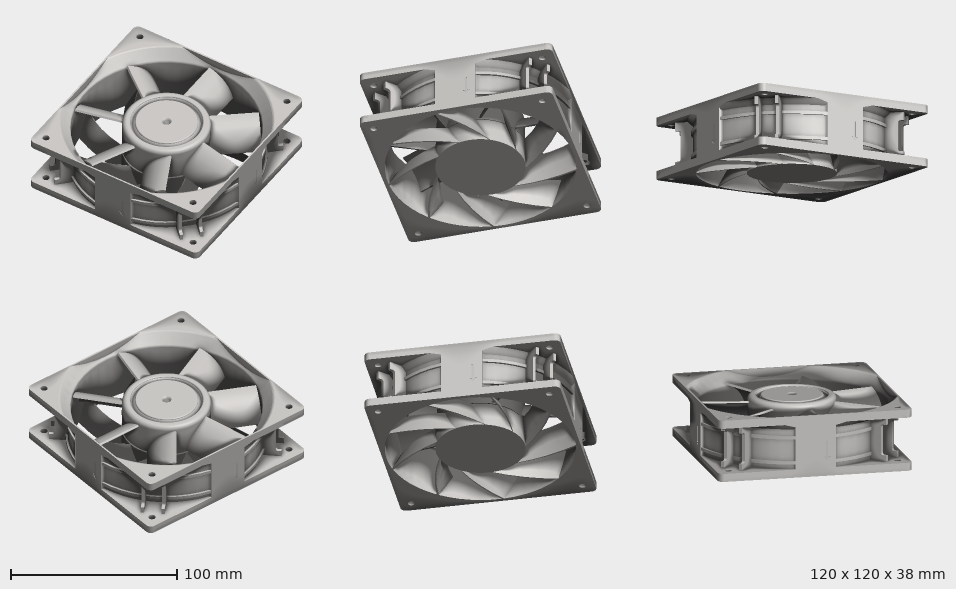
import cadquery as cq
import math

SIDE = 120.0
HEIGHT = 38.0
FLANGE_THICKNESS = 5.0
CORNER_RADIUS = 3.5
MOUNT_SPACING = 105.0
MOUNT_HOLE_DIAMETER = 4.3
WALL_OUTER_RADIUS = 59.5
DUCT_RADIUS = 57.7
FLARE_RADIUS = 64.5
FLARE_ANGLE = 45.0
FLARE_BLEND_RADIUS = 2.0
OUTER_FLARE_RISE = 3.5
FLARE_CLIP = 118.0
PANEL_WIDTH = 25.2
PANEL_FILLET = 1.7
HOOP_RADIUS = 60.8
HOOP_HEIGHT = 2.0
HOOP_BOTTOMS = (8.0, 23.5)
RIB_SPACING = 12.5
RIB_THICKNESS = 2.0
RIB_REACH = 70.5
RIB_NOTCH_DEPTH = 3.5
RIB_NOTCH_BOTTOM = 8.9
RIB_NOTCH_TOP = 27.9
RIB_NOTCH_FILLET = 1.5
ARROW_OFFSET = 6.8
ARROW_TOP = 21.7
ARROW_NECK = 12.1
ARROW_TIP = 9.7
ARROW_SHAFT_WIDTH = 1.4
ARROW_HEAD_WIDTH = 4.5
ARROW_DEPTH = 0.2

STATOR_RADIUS = 27.2
STATOR_HEIGHT = 15.0
NECK_RADIUS = 25.0
NECK_OVERLAP = 1.0
STRUT_COUNT = 9
STRUT_BOTTOM_PATH = ((26.5, 149.5), (40.2, 123.9), (58.5, 107.6))
STRUT_TOP_PATH = ((26.5, 129.5), (45.0, 107.5), (58.5, 96.9))
STRUT_BOTTOM_WIDTH = 1.5
STRUT_TOP_WIDTH = 0.4

ROTOR_RADIUS = 26.8
ROTOR_BOTTOM = 15.7
ROTOR_TOP = 36.6
ROTOR_EDGE_RADIUS = 2.9
CAP_RADIUS = 18.2
GROOVE_FLOOR_RADIUS = 20.7
GROOVE_OUTER_RADIUS = 22.7
GROOVE_DEPTH = 2.0
GROOVE_SHOULDER_RADIUS = 0.85
CENTRE_HOLE_RADIUS = 3.0
CENTRE_HOLE_FLOOR_RADIUS = 1.8
CENTRE_HOLE_DEPTH = 1.2
BLADE_COUNT = 7
BLADE_ROOT = 24.0
BLADE_TIP = 56.4
BLADE_UPPER_ARC = ((-5.4, 33.4), (6.0, 27.0), (11.5, 16.7))
BLADE_LOWER_ARC = ((-6.2, 32.4), (5.2, 25.9), (10.3, 16.5))

SELECT_MARGIN = 0.5
HALF = SIDE / 2
UPPER_FLANGE_BOTTOM = HEIGHT - FLANGE_THICKNESS
BODY_HEIGHT = HEIGHT - 2 * FLANGE_THICKNESS
SIDE_ANGLES = (0, 90, 180, 270)
DIAGONAL_ANGLE = 45


def polar(radius, angle):
    """Point at a radius and an angle in degrees."""
    return radius * math.cos(math.radians(angle)), radius * math.sin(math.radians(angle))


def cylinder(radius, bottom, top):
    return cq.Workplane("XY").workplane(offset=bottom).circle(radius).extrude(top - bottom)


def around_z(shape, angle):
    return shape.rotate((0, 0, 0), (0, 0, 1), angle)


def rounded_block():
    return cq.Workplane("XY").rect(SIDE, SIDE).extrude(HEIGHT).edges("|Z").fillet(CORNER_RADIUS)


def wall_with_panels():
    """Round duct wall blended into a flat panel at the middle of each side."""
    panels = cq.Workplane("XY").workplane(offset=FLANGE_THICKNESS)
    bars = panels.rect(SIDE, PANEL_WIDTH).extrude(BODY_HEIGHT)
    bars = bars.union(panels.rect(PANEL_WIDTH, SIDE).extrude(BODY_HEIGHT))
    wall = bars.union(cylinder(WALL_OUTER_RADIUS, FLANGE_THICKNESS, UPPER_FLANGE_BOTTOM))
    reach = HALF - SELECT_MARGIN
    where_panels_meet_wall = cq.selectors.BoxSelector((-reach, -reach, 0), (reach, reach, HEIGHT))
    return wall.edges("|Z").edges(where_panels_meet_wall).fillet(PANEL_FILLET)


def outer_flare():
    """45 degree cone under the upper flange that backs the inlet flare."""
    return (
        cq.Workplane("XZ")
        .moveTo(0, UPPER_FLANGE_BOTTOM - OUTER_FLARE_RISE)
        .lineTo(WALL_OUTER_RADIUS, UPPER_FLANGE_BOTTOM - OUTER_FLARE_RISE)
        .lineTo(WALL_OUTER_RADIUS + OUTER_FLARE_RISE, UPPER_FLANGE_BOTTOM)
        .lineTo(0, UPPER_FLANGE_BOTTOM)
        .close()
        .revolve(360, (0, 0, 0), (0, 1, 0))
    )


def corner_rib():
    """Rib along +X, reaching out from the duct wall, with a notch in its outer edge."""
    notch_floor = RIB_REACH - RIB_NOTCH_DEPTH
    rib = (
        cq.Workplane("XZ")
        .moveTo(DUCT_RADIUS, FLANGE_THICKNESS)
        .lineTo(RIB_REACH, FLANGE_THICKNESS)
        .lineTo(RIB_REACH, RIB_NOTCH_BOTTOM)
        .lineTo(notch_floor, RIB_NOTCH_BOTTOM)
        .lineTo(notch_floor, RIB_NOTCH_TOP)
        .lineTo(RIB_REACH, RIB_NOTCH_TOP)
        .lineTo(RIB_REACH, UPPER_FLANGE_BOTTOM)
        .lineTo(DUCT_RADIUS, UPPER_FLANGE_BOTTOM)
        .close()
        .extrude(RIB_THICKNESS / 2, both=True)
    )
    notch_corners = cq.selectors.BoxSelector(
        (notch_floor - SELECT_MARGIN, -RIB_THICKNESS, RIB_NOTCH_BOTTOM - SELECT_MARGIN),
        (notch_floor + SELECT_MARGIN, RIB_THICKNESS, RIB_NOTCH_TOP + SELECT_MARGIN),
    )
    return rib.edges("|Y").edges(notch_corners).fillet(RIB_NOTCH_FILLET)


def duct_cut():
    """Straight duct opening into a 45 degree inlet flare with blended ends."""
    bore = cylinder(DUCT_RADIUS, 0, HEIGHT)
    flare_depth = FLARE_RADIUS - DUCT_RADIUS
    half_turn = math.radians(FLARE_ANGLE / 2)
    setback = FLARE_BLEND_RADIUS * math.tan(half_turn)
    diagonal = setback * math.sin(math.radians(FLARE_ANGLE))
    bow = FLARE_BLEND_RADIUS * math.sin(half_turn)
    drop = FLARE_BLEND_RADIUS * (1 - math.cos(half_turn))
    flare_bottom = HEIGHT - flare_depth
    flare = (
        cq.Workplane("XZ")
        .moveTo(0, flare_bottom - setback)
        .lineTo(DUCT_RADIUS, flare_bottom - setback)
        .threePointArc(
            (DUCT_RADIUS + drop, flare_bottom - setback + bow),
            (DUCT_RADIUS + diagonal, flare_bottom + diagonal),
        )
        .lineTo(FLARE_RADIUS - diagonal, HEIGHT - diagonal)
        .threePointArc((FLARE_RADIUS + setback - bow, HEIGHT - drop), (FLARE_RADIUS + setback, HEIGHT))
        .lineTo(0, HEIGHT)
        .close()
        .revolve(360, (0, 0, 0), (0, 1, 0))
    )
    clip = cq.Workplane("XY").rect(FLARE_CLIP, FLARE_CLIP).extrude(HEIGHT)
    return bore.union(flare.intersect(clip))


def flow_arrow():
    """Downward arrow sunk into the -Y side."""
    shaft = ARROW_SHAFT_WIDTH / 2
    head = ARROW_HEAD_WIDTH / 2
    return (
        cq.Workplane("XZ", origin=(ARROW_OFFSET, -HALF, 0))
        .polyline([
            (-shaft, ARROW_TOP),
            (shaft, ARROW_TOP),
            (shaft, ARROW_NECK),
            (head, ARROW_NECK),
            (0, ARROW_TIP),
            (-head, ARROW_NECK),
            (-shaft, ARROW_NECK),
        ])
        .close()
        .extrude(-ARROW_DEPTH)
    )


def housing():
    block = rounded_block()
    gap = cq.Workplane("XY").workplane(offset=FLANGE_THICKNESS).rect(2 * SIDE, 2 * SIDE).extrude(BODY_HEIGHT)
    frame = block.cut(gap)
    body = wall_with_panels().union(outer_flare())
    for bottom in HOOP_BOTTOMS:
        body = body.union(cylinder(HOOP_RADIUS, bottom, bottom + HOOP_HEIGHT))
    for side_angle in SIDE_ANGLES:
        for offset in (-RIB_SPACING / 2, RIB_SPACING / 2):
            body = body.union(around_z(corner_rib().translate((0, offset, 0)), side_angle + DIAGONAL_ANGLE))
    frame = frame.union(body.intersect(block)).cut(duct_cut())
    mount_holes = (
        cq.Workplane("XY")
        .rect(MOUNT_SPACING, MOUNT_SPACING, forConstruction=True)
        .vertices()
        .circle(MOUNT_HOLE_DIAMETER / 2)
        .extrude(HEIGHT)
    )
    frame = frame.cut(mount_holes)
    for side_angle in SIDE_ANGLES:
        frame = frame.cut(around_z(flow_arrow(), side_angle))
    return frame


def strut_section(workplane, path, angular_width):
    """Thin curved strip between a path and its copy turned clockwise."""
    near = [polar(radius, angle) for radius, angle in path]
    far = [polar(radius, angle - angular_width) for radius, angle in path]
    return (
        workplane
        .moveTo(*near[0])
        .threePointArc(near[1], near[2])
        .lineTo(*far[2])
        .threePointArc(far[1], far[0])
        .close()
    )


def strut():
    """Thin curved guide vane that leans clockwise as it rises to a narrow upper edge."""
    top_path = [(radius, angle + STRUT_TOP_WIDTH) for radius, angle in STRUT_TOP_PATH]
    section = strut_section(cq.Workplane("XY"), STRUT_BOTTOM_PATH, STRUT_BOTTOM_WIDTH)
    section = strut_section(section.workplane(offset=STATOR_HEIGHT), top_path, STRUT_TOP_WIDTH)
    return section.loft(ruled=True)


def rotor_hub():
    """Cup with a rounded rim, a V groove around its cap and a countersunk centre."""
    shoulder = GROOVE_SHOULDER_RADIUS
    return (
        cq.Workplane("XZ")
        .moveTo(0, ROTOR_BOTTOM)
        .lineTo(ROTOR_RADIUS, ROTOR_BOTTOM)
        .lineTo(ROTOR_RADIUS, ROTOR_TOP - ROTOR_EDGE_RADIUS)
        .radiusArc((ROTOR_RADIUS - ROTOR_EDGE_RADIUS, ROTOR_TOP), -ROTOR_EDGE_RADIUS)
        .lineTo(GROOVE_OUTER_RADIUS, ROTOR_TOP)
        .radiusArc((GROOVE_OUTER_RADIUS - shoulder, ROTOR_TOP - shoulder), -shoulder)
        .lineTo(GROOVE_FLOOR_RADIUS, ROTOR_TOP - GROOVE_DEPTH)
        .lineTo(CAP_RADIUS + shoulder, ROTOR_TOP - shoulder)
        .radiusArc((CAP_RADIUS, ROTOR_TOP), -shoulder)
        .lineTo(CENTRE_HOLE_RADIUS, ROTOR_TOP)
        .lineTo(CENTRE_HOLE_FLOOR_RADIUS, ROTOR_TOP - CENTRE_HOLE_DEPTH)
        .lineTo(0, ROTOR_TOP - CENTRE_HOLE_DEPTH)
        .close()
        .revolve(360, (0, 0, 0), (0, 1, 0))
    )


def blade():
    """Curved plate reaching out along +Y, highest on its -X edge."""
    return (
        cq.Workplane("XZ", origin=(0, BLADE_ROOT, 0))
        .moveTo(*BLADE_UPPER_ARC[0])
        .threePointArc(BLADE_UPPER_ARC[1], BLADE_UPPER_ARC[2])
        .lineTo(*BLADE_LOWER_ARC[2])
        .threePointArc(BLADE_LOWER_ARC[1], BLADE_LOWER_ARC[0])
        .close()
        .extrude(BLADE_ROOT - BLADE_TIP)
    )


def fan():
    """Stator base, struts, rotor hub and blades on the fan axis."""
    body = cylinder(STATOR_RADIUS, 0, STATOR_HEIGHT)
    body = body.union(cylinder(NECK_RADIUS, 0, ROTOR_BOTTOM + NECK_OVERLAP))
    body = body.union(rotor_hub())
    for i in range(STRUT_COUNT):
        body = body.union(around_z(strut(), i * 360 / STRUT_COUNT))
    for i in range(BLADE_COUNT):
        body = body.union(around_z(blade(), i * 360 / BLADE_COUNT))
    return body


result = housing().union(fan())